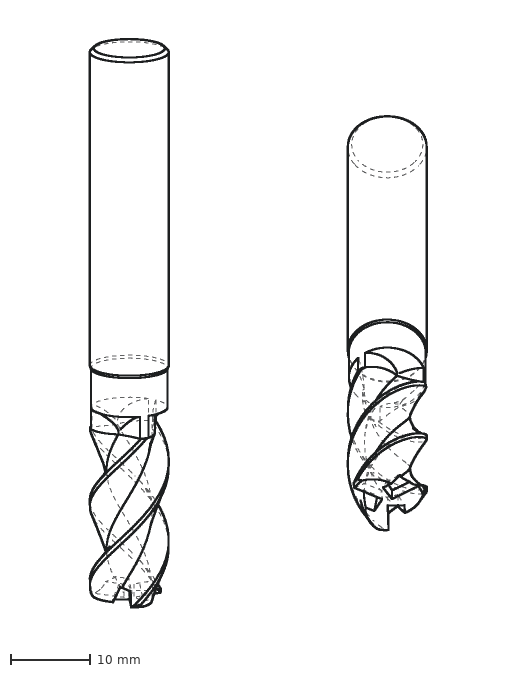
import cadquery as cq
import math

length = 72.0
shank_radius = 5.005
top_chamfer = 0.5

neck_radius = 4.86
neck_top = 30.45
neck_taper_height = 0.35

head_length = 22.1
flute_count = 3
flute_spacing = 360 / flute_count
helix_lead = 31.3
head_twist = 360 * head_length / helix_lead
tip_chamfer = 0.35

flute_bearing = 270.0
heel_angle = -70.0
relief_angle = -36.0
relief_radius = 3.75
valley_radius = 2.9
valley_angle = -5.0
face_bend_angle = 18.0
face_bend_radius = 3.25
edge_break_radius = 4.5
edge_break_angle = 37.0
edge_angle = 41.0

runout_height = 2.9
runout_bow = (3.3, 1.7)
flute_opening = 5.75

gash_depth = 1.7
gash_width = 2.15
gash_crest = (-1.3, 2.15)
gash_inner_radius = 0.7


def polar(radius, angle):
    """Point in the section plane; the flute faces +X at angle zero."""
    turn = math.radians(angle)
    return (radius * math.cos(turn), radius * math.sin(turn))


def trace_flute(section, turn):
    """Continue an outline from the heel of a flute, through its bottom, to the cutting edge."""
    return (
        section
        .threePointArc(
            polar(relief_radius, turn + relief_angle),
            polar(valley_radius, turn + valley_angle),
        )
        .threePointArc(
            polar(face_bend_radius, turn + face_bend_angle),
            polar(edge_break_radius, turn + edge_break_angle),
        )
        .lineTo(*polar(shank_radius, turn + edge_angle))
    )


def flute_section():
    """Open side of one flute, closed by a straight line outside the part."""
    heel = polar(shank_radius, heel_angle)
    edge = polar(shank_radius, edge_angle)
    return (
        trace_flute(cq.Workplane("XY").moveTo(*heel), 0)
        .lineTo(flute_opening, edge[1])
        .lineTo(flute_opening, heel[1])
        .close()
    )


def head_section():
    """Solid cross-section of the head: lands joined by the flute outlines."""
    section = cq.Workplane("XY").moveTo(*polar(shank_radius, heel_angle))
    for index in range(flute_count):
        turn = index * flute_spacing
        next_heel = turn + flute_spacing + heel_angle
        land_middle = (turn + edge_angle + next_heel) / 2
        section = trace_flute(section, turn).threePointArc(
            polar(shank_radius, land_middle), polar(shank_radius, next_heel)
        )
    return section.close()


def about_axis(body, angle):
    return body.rotate((0, 0, 0), (0, 0, 1), angle)


def make_runout():
    """Cutter that carries one flute up and out of the neck."""
    flute = flute_section().extrude(runout_height)
    curved_ring = (
        cq.Workplane("XZ")
        .moveTo(valley_radius, 0)
        .threePointArc(runout_bow, (neck_radius, runout_height))
        .lineTo(2 * flute_opening, runout_height)
        .lineTo(2 * flute_opening, 0)
        .close()
        .revolve(360, (0, 0), (0, 1))
    )
    return flute.intersect(curved_ring).translate((0, 0, head_length))


def make_shank():
    """Shank and neck, with the flute run-outs cut into the neck."""
    shank = (
        cq.Workplane("XZ")
        .moveTo(0, head_length)
        .lineTo(neck_radius, head_length)
        .lineTo(neck_radius, neck_top - neck_taper_height)
        .lineTo(shank_radius, neck_top)
        .lineTo(shank_radius, length - top_chamfer)
        .lineTo(shank_radius - top_chamfer, length)
        .lineTo(0, length)
        .close()
        .revolve(360, (0, 0), (0, 1))
    )
    runout = make_runout()
    for index in range(flute_count):
        shank = shank.cut(about_axis(runout, flute_bearing + index * flute_spacing))
    return shank


def make_gash():
    """Wedge along +X: upright wall at the tooth, sloping away behind it."""
    return (
        cq.Workplane("YZ", origin=(gash_inner_radius, 0, 0))
        .polyline([(0, 0), (0, gash_depth), gash_crest, (-gash_width, 0)])
        .close()
        .extrude(shank_radius)
    )


def make_head():
    """Helical head with a chamfered tip and one end gash per tooth."""
    tip_bearing = flute_bearing - head_twist
    head = about_axis(head_section().twistExtrude(head_length, head_twist), tip_bearing)
    envelope = cq.Workplane("XY").circle(shank_radius).extrude(head_length)
    head = head.intersect(envelope.faces("<Z").chamfer(tip_chamfer))
    gash = make_gash()
    for index in range(flute_count):
        tooth_bearing = tip_bearing + edge_angle + index * flute_spacing
        head = head.cut(about_axis(gash, tooth_bearing))
    return head


shank = make_shank()
head = make_head()
result = cq.Compound.makeCompound([shank.val(), head.val()])